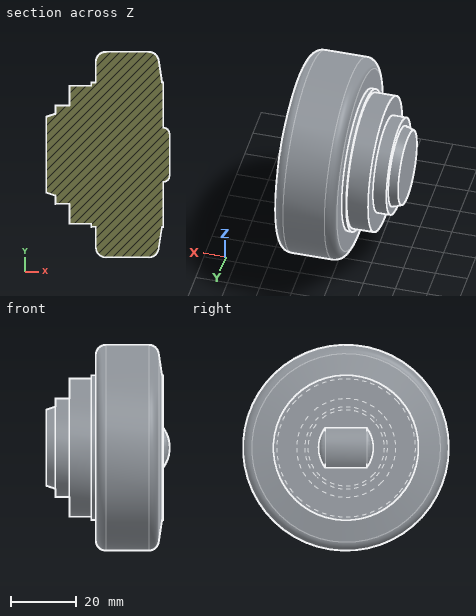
import cadquery as cq
import math

nose_end = 2.8
small_step_end = 7.0
large_step_end = 13.6
wheel_start = 15.0
key_base = 35.5
overall_length = 37.5

nose_tip_radius = 11.55
nose_base_radius = 12.5
small_step_radius = 15.0
large_step_radius = 21.0
collar_radius = 22.0
wheel_radius = 31.25

rim_round = 3.1
rim_flat_length = 12.95
cone_angle = math.radians(8.8)

key_half_width = 6.05
key_straight_length = 12.6
key_height = overall_length - key_base


def make_stepped_body():
    """Turned profile of the nose, steps, wheel and collars."""
    round_center_radius = wheel_radius - rim_round
    near_center_x = wheel_start + rim_round
    far_center_x = near_center_x + rim_flat_length

    def far_round_point(angle):
        return (
            far_center_x + rim_round * math.cos(angle),
            round_center_radius + rim_round * math.sin(angle),
        )

    cone_outer_x, cone_outer_radius = far_round_point(cone_angle)
    cone_drop = cone_outer_radius - collar_radius
    cone_inner_x = cone_outer_x + cone_drop * math.tan(cone_angle)
    far_round_middle = far_round_point((math.pi / 2 + cone_angle) / 2)
    near_round_middle = (
        near_center_x - rim_round * math.cos(math.pi / 4),
        round_center_radius + rim_round * math.sin(math.pi / 4),
    )

    profile = (
        cq.Workplane("XY")
        .moveTo(0, 0)
        .lineTo(0, nose_tip_radius)
        .lineTo(nose_end, nose_base_radius)
        .lineTo(nose_end, small_step_radius)
        .lineTo(small_step_end, small_step_radius)
        .lineTo(small_step_end, large_step_radius)
        .lineTo(large_step_end, large_step_radius)
        .lineTo(large_step_end, collar_radius)
        .lineTo(wheel_start, collar_radius)
        .lineTo(wheel_start, round_center_radius)
        .threePointArc(near_round_middle, (near_center_x, wheel_radius))
        .lineTo(far_center_x, wheel_radius)
        .threePointArc(far_round_middle, (cone_outer_x, cone_outer_radius))
        .lineTo(cone_inner_x, collar_radius)
        .lineTo(key_base, collar_radius)
        .lineTo(key_base, 0)
        .close()
    )
    return profile.revolve(360, (0, 0, 0), (1, 0, 0))


def key_section(y):
    """Circular segment standing on the end face, in the plane at the given Y."""
    return (
        cq.Workplane("XZ", origin=(key_base, y, 0))
        .moveTo(0, -key_half_width)
        .threePointArc((key_height, 0), (0, key_half_width))
        .close()
    )


def make_key():
    """Straight bar whose ends are the same section turned about its chord."""
    half_length = key_straight_length / 2
    bar = key_section(half_length).extrude(key_straight_length)
    rounded_end = key_section(half_length).revolve(-90, (0, 0, 0), (0, 1, 0))
    return bar.union(rounded_end).union(rounded_end.mirror("XZ"))


result = make_stepped_body().union(make_key())